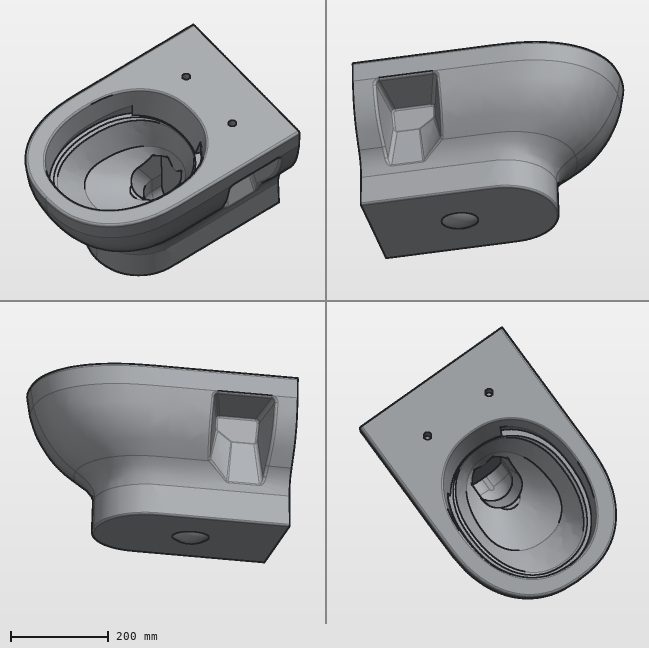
import cadquery as cq
import math

HEIGHT = 300.0
RIM_TOP_HALF_WIDTH = 179.96
RIM_TOP_DEPTH = 520.48
RIM_OUTER_ROUND = 5.0
BASE_ROUND = 4.0

NECK_Z = 67.0

NECK_START = (NECK_Z, 107.6, 385.0)
SHOULDER = (121.5, 126.0, 425.0)
BELT = (256.0, 178.2, 514.0)
BASE_STATIONS = [(0.0, 110.8, 387.2), NECK_START]
NECK_STATIONS = [NECK_START, (83.0, 109.0, 387.5), (100.0, 113.5, 399.0), SHOULDER]
BOWL_STATIONS = [SHOULDER, (148.0, 144.5, 456.0), (178.0, 160.5, 480.0), (215.0, 171.8, 500.5), BELT]
BAND_STATIONS = [BELT, (HEIGHT, RIM_TOP_HALF_WIDTH, RIM_TOP_DEPTH)]

REFERENCE_STATION = BOWL_STATIONS[2]

NOSE_START_BASE = 275.0
WIDEST_Y = -304.0
NOSE_FULLNESS_BASE = 2.05
NOSE_FULLNESS_RIM = 2.3
SIDE_STEPS = 5
CURVE_STEPS = 8

LEDGE_Z = 236.0
RIM_INNER_ROUND = 4.0
OPENING_FULLNESS = 2.22
OPENING_TOP = (HEIGHT, 141.0, -142.0, WIDEST_Y, -484.0)
OPENING_BOTTOM = (LEDGE_Z, 130.0, -164.0, WIDEST_Y, -475.0)
LEDGE_BEVEL = (LEDGE_Z, 122.5, -165.0, WIDEST_Y, -466.0)
BASIN_TOP = (232.0, 115.0, -166.0, WIDEST_Y, -460.0)
BASIN_WAIST = (175.0, 87.0, -178.0, WIDEST_Y, -391.0)
BASIN_MIDDLE = (153.0, 58.0, -182.0, -285.0, -345.0)
BASIN_FLOOR = (136.0, 28.0, -186.0, -255.0, -293.0)

RECESS_OUTLINE = (LEDGE_Z, 132.0, -151.0, WIDEST_Y, -472.0)
RECESS_TOP_Z = 270.0
DEFLECTOR_RIGHT = (57.0, -165.0)
DEFLECTOR_LEFT = (-98.0, -220.0)

SUMP_REAR_Y = -185.0
SUMP_FRONT_Y = -254.0
SUMP_MOUTH_FRONT_Y = -297.0
SUMP_HALF_WIDTH = 43.0
SUMP_THROAT_Z = 85.0
SUMP_MOUTH_HALF_WIDTH = 46.0
SUMP_MOUTH_Z = 158.0
SUMP_FLOOR_Z = 10.0
SUMP_FLOOR_ROUND = 38.0
TRAP_Y = -182.0
TRAP_PIPE_RADIUS = 43.5
TRAP_BEND_RADIUS = 64.4
TRAP_DROP = 12.41

HINGE_HOLE_DIAMETER = 16.0
HINGE_SPACING = 155.0
HINGE_Y = -95.5
HINGE_DEPTH = 40.0

POCKET_FLOOR_X = 70.0
POCKET_MOUTH_X = 180.0
POCKET_FLOOR = [(-55.0, 243.0), (-146.0, 243.0), (-146.0, 213.0), (-114.0, 189.0), (-61.0, 189.0)]
POCKET_MOUTH = [(-47.0, 252.0), (-177.0, 252.0), (-198.0, 48.0), (-165.0, -100.0), (-52.0, -100.0)]
POCKET_FLOOR_ROUND = 4.0
POCKET_CORNER_ROUND = 8.0
POCKET_LIP_ROUND = 6.0
LIP_TOLERANCE = 0.05


def superellipse_quarter(half_width, length, exponent):
    """Points from (half_width, 0) to (0, length)."""
    points = []
    for step in range(CURVE_STEPS + 1):
        angle = math.pi / 2 * step / CURVE_STEPS
        x = half_width * max(math.cos(angle), 0.0) ** (2 / exponent)
        y = length * math.sin(angle) ** (2 / exponent)
        points.append((x, y))
    points[-1] = (0.0, length)
    return points


def quarter_points(z, half_width, center_y, end_y, exponent, side):
    """Curve points from the widest point on one side (+1 or -1) to the point (0, end_y)."""
    points = superellipse_quarter(half_width, end_y - center_y, exponent)
    return [cq.Vector(side * x, center_y + y, z) for x, y in points]


def skin_side_points(z, half_width, depth, side):
    """Points from the back along one straight side and round into the tip of the nose."""
    neck_half_width = NECK_START[1]
    blend = (half_width - neck_half_width) / (RIM_TOP_HALF_WIDTH - neck_half_width)
    nose_y = -NOSE_START_BASE + blend * (WIDEST_Y + NOSE_START_BASE)
    fullness = NOSE_FULLNESS_BASE + blend * (NOSE_FULLNESS_RIM - NOSE_FULLNESS_BASE)
    straight = [cq.Vector(side * half_width, nose_y * i / SIDE_STEPS, z) for i in range(SIDE_STEPS)]
    return straight + quarter_points(z, half_width, nose_y, -depth, fullness, side)


def chord_parameters(points):
    """Running chord length at each point, scaled to end at 1."""
    lengths = [0.0]
    for start, end in zip(points, points[1:]):
        lengths.append(lengths[-1] + (end - start).Length)
    return [length / lengths[-1] for length in lengths]


SKIN_PARAMETERS = chord_parameters(skin_side_points(*REFERENCE_STATION, 1))


def skin_section(z, half_width, depth):
    """Straight back, and two mirrored sides that meet at the tip of the nose."""
    edges = [cq.Edge.makeLine(cq.Vector(-half_width, 0, z), cq.Vector(half_width, 0, z))]
    for side in (1, -1):
        points = skin_side_points(z, half_width, depth, side)
        tangents = [cq.Vector(0, -1, 0), cq.Vector(-side, 0, 0)]
        edges.append(cq.Edge.makeSpline(points, tangents=tangents, parameters=SKIN_PARAMETERS))
    return cq.Wire.assembleEdges(edges)


def oval_section(z, half_width, rear_y, widest_y, front_y):
    """Egg-shaped closed outline, widest at widest_y."""
    rear = quarter_points(z, half_width, widest_y, rear_y, OPENING_FULLNESS, 1)
    front = quarter_points(z, half_width, widest_y, front_y, OPENING_FULLNESS, 1)
    right = rear[::-1] + front[1:]
    left = [cq.Vector(-point.x, point.y, z) for point in right[-2:0:-1]]
    return cq.Wire.assembleEdges([cq.Edge.makeSpline(right + left, periodic=True)])


def loft(sections, ruled=False):
    return cq.Workplane(obj=cq.Solid.makeLoft(sections, ruled))


def stack_lofts(station_groups, section):
    """Lofts joined end to end, one through each group of stations."""
    stack = None
    for stations in station_groups:
        band = loft([section(*station) for station in stations])
        stack = band if stack is None else stack.union(band)
    return stack


def fillet_picked_edges(body, edges, radius, keep):
    return body.newObject([edge for edge in edges.vals() if keep(edge)]).fillet(radius)


def make_skin():
    """Bowl on its base, with the rim and base edges rounded and the flat back left sharp."""
    skin = stack_lofts([BASE_STATIONS, NECK_STATIONS, BOWL_STATIONS, BAND_STATIONS], skin_section)

    def ahead_of_back(edge):
        return edge.Center().y < -1

    skin = fillet_picked_edges(skin, skin.faces(">Z").edges(), RIM_OUTER_ROUND, ahead_of_back)
    return fillet_picked_edges(skin, skin.faces("<Z").edges(), BASE_ROUND, ahead_of_back)


def make_trap_bend():
    """Underside of the trap pipe: a half-round profile swept about an axis along X."""
    axis_z = TRAP_BEND_RADIUS - TRAP_DROP
    straight_z = TRAP_PIPE_RADIUS - TRAP_DROP
    profile = (
        cq.Workplane("XZ", origin=(0, TRAP_Y, 0))
        .moveTo(-TRAP_PIPE_RADIUS, axis_z)
        .lineTo(-TRAP_PIPE_RADIUS, straight_z)
        .threePointArc((0, -TRAP_DROP), (TRAP_PIPE_RADIUS, straight_z))
        .lineTo(TRAP_PIPE_RADIUS, axis_z)
        .close()
    )
    return profile.revolve(360, (0, axis_z), (1, axis_z))


def cut_opening(body):
    """Tapered rim bore with a rounded upper edge."""
    body = body.cut(loft([oval_section(*OPENING_TOP), oval_section(*OPENING_BOTTOM)]))

    def around_bore(edge):
        return edge.BoundingBox().ymin > OPENING_TOP[4] - 1 and edge.BoundingBox().ymax < OPENING_TOP[2] + 1

    return fillet_picked_edges(body, body.faces(">Z").edges(), RIM_INNER_ROUND, around_bore)


def make_basin():
    bands = [(LEDGE_BEVEL, BASIN_TOP), (BASIN_TOP, BASIN_WAIST), (BASIN_WAIST, BASIN_MIDDLE, BASIN_FLOOR)]
    return stack_lofts(bands, oval_section)


def make_recess():
    """Ring that opens up the lower rim wall, except for the deflector sector at the rear."""
    outline = oval_section(*RECESS_OUTLINE)
    ring = cq.Workplane(obj=cq.Solid.extrudeLinear(outline, [], cq.Vector(0, 0, RECESS_TOP_Z - LEDGE_Z)))
    pivot_x, pivot_y = 0, WIDEST_Y
    far = [(2 * x, pivot_y + 2 * (y - pivot_y)) for x, y in (DEFLECTOR_LEFT, DEFLECTOR_RIGHT)]
    sector = (
        cq.Workplane("XY", origin=(0, 0, LEDGE_Z))
        .polyline([(pivot_x, pivot_y)] + far)
        .close()
        .extrude(RECESS_TOP_Z - LEDGE_Z)
    )
    return ring.cut(sector)


def sump_section(z, half_width, front_y):
    """Flat rear, straight sides and a round front."""
    center_y = front_y + half_width
    return (
        cq.Workplane("XY", origin=(0, 0, z))
        .moveTo(-half_width, SUMP_REAR_Y)
        .lineTo(-half_width, center_y)
        .threePointArc((0, front_y), (half_width, center_y))
        .lineTo(half_width, SUMP_REAR_Y)
        .close()
    )


def make_sump():
    throat = sump_section(SUMP_FLOOR_Z, SUMP_HALF_WIDTH, SUMP_FRONT_Y).extrude(SUMP_THROAT_Z - SUMP_FLOOR_Z)
    throat = throat.faces("<Z").edges("not >Y").fillet(SUMP_FLOOR_ROUND)
    sections = [
        sump_section(SUMP_THROAT_Z, SUMP_HALF_WIDTH, SUMP_FRONT_Y).val(),
        sump_section(SUMP_MOUTH_Z, SUMP_MOUTH_HALF_WIDTH, SUMP_MOUTH_FRONT_Y).val(),
    ]
    return throat.union(loft(sections, ruled=True))


def pocket_section(corners, x):
    points = [cq.Vector(x, y, z) for y, z in corners]
    return cq.Wire.makePolygon(points, close=True)


def make_pocket():
    """Flared pocket on the -X side, with rounded corners and a rounded floor edge."""
    sections = [pocket_section(POCKET_FLOOR, -POCKET_FLOOR_X), pocket_section(POCKET_MOUTH, -POCKET_MOUTH_X)]
    pocket = loft(sections, ruled=True)

    def runs_inward(edge):
        return abs(edge.startPoint().x - edge.endPoint().x) > 1

    pocket = fillet_picked_edges(pocket, pocket.edges(), POCKET_CORNER_ROUND, runs_inward)
    return pocket.faces(">X").edges().fillet(POCKET_FLOOR_ROUND)


def cut_pocket(body):
    """Cut the -X pocket and round the lip where it breaks through the skin."""
    pocket = make_pocket()
    box = pocket.val().BoundingBox()
    walls = pocket.val().Faces()
    corners = pocket.val().Edges()
    body = body.cut(pocket)

    def on_lip(edge):
        """True for edges that lie on the pocket's walls but are not its own corner lines."""
        middle = edge.positionAt(0.5)
        outside_floor = middle.x < -POCKET_FLOOR_X - POCKET_FLOOR_ROUND
        if not (outside_floor and box.ymin - 1 < middle.y < box.ymax + 1):
            return False
        probe = cq.Vertex.makeVertex(*middle.toTuple())
        to_wall = min(wall.distance(probe) for wall in walls)
        to_corner = min(corner.distance(probe) for corner in corners)
        return to_wall < LIP_TOLERANCE < to_corner

    return fillet_picked_edges(body, body.edges(), POCKET_LIP_ROUND, on_lip)


def mirror_left_half(body):
    """Keep the -X half and join it to its mirror image."""
    half_space = cq.Workplane("XY").box(RIM_TOP_DEPTH, 3 * RIM_TOP_DEPTH, 3 * HEIGHT)
    left = body.intersect(half_space.translate((-RIM_TOP_DEPTH / 2, 0, 0)))
    return left.union(left.mirror("YZ"))


def make_hinge_holes():
    return (
        cq.Workplane("XY", origin=(0, HINGE_Y, HEIGHT))
        .pushPoints([(-HINGE_SPACING / 2, 0), (HINGE_SPACING / 2, 0)])
        .circle(HINGE_HOLE_DIAMETER / 2)
        .extrude(-HINGE_DEPTH)
    )


result = make_skin()
result = mirror_left_half(cut_pocket(result))
result = result.union(make_trap_bend())
result = cut_opening(result)
for hollow in (make_basin(), make_recess(), make_sump(), make_hinge_holes()):
    result = result.cut(hollow)